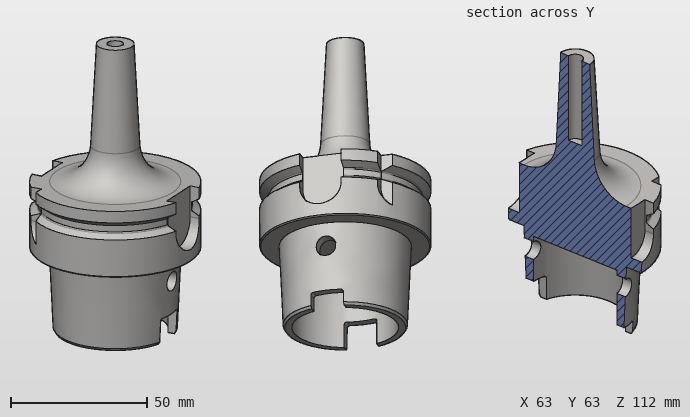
import cadquery as cq
import math

total_height = 112.0
flange_bottom = 32.0
flange_top = 58.0

shank_top_radius = 24.3
shank_bottom_radius = 22.8
shank_chamfer_height = 1.0
shank_chamfer_width = 0.7
cavity_radius = 19.6
cavity_depth = 29.1

flange_radius = 31.5
flange_chamfer = 0.5
groove_floor_radius = 28.3
groove_top = 53.5
groove_floor_top = 51.6
groove_floor_bottom = 48.5
groove_bottom = 46.8
groove_corner_radius = 0.6

tip_radius = 7.0
blend_radius = 15.0
blend_outer_radius = 24.1
tip_bore_diameter = 6.0
tip_bore_depth = 35.8

slot_bottom = 37.0
slot_floor_distance = 26.4
left_slot_width = 15.9
right_slot_width = 17.9
notch_floor_distance = 19.9
notch_wall_y = -20.0

keyway_width = 12.4
keyway_corner_radius = 1.0
left_keyway_height = 5.9
right_keyway_height = 10.1
cross_hole_diameter = 7.5
cross_hole_height = 23.2


def make_body():
    """Revolve the outside outline, with the nose side tangent to the blend arc."""
    blend_center_height = flange_top + blend_radius
    tip_offset = blend_outer_radius - tip_radius
    tip_rise = total_height - blend_center_height
    taper_angle = math.acos(blend_radius / math.hypot(tip_offset, tip_rise)) - math.atan2(tip_rise, tip_offset)

    def blend_point(angle):
        """Point on the blend arc, at an angle below the level of its centre."""
        return (
            blend_outer_radius - blend_radius * math.cos(angle),
            blend_center_height - blend_radius * math.sin(angle),
        )

    middle_angle = (taper_angle + math.pi / 2) / 2
    return (
        cq.Workplane("XZ")
        .moveTo(0, 0)
        .lineTo(shank_bottom_radius - shank_chamfer_width, 0)
        .lineTo(shank_bottom_radius, shank_chamfer_height)
        .lineTo(shank_top_radius, flange_bottom)
        .lineTo(flange_radius - flange_chamfer, flange_bottom)
        .lineTo(flange_radius, flange_bottom + flange_chamfer)
        .lineTo(flange_radius, groove_bottom)
        .lineTo(groove_floor_radius, groove_floor_bottom)
        .lineTo(groove_floor_radius, groove_floor_top)
        .lineTo(flange_radius, groove_top)
        .lineTo(flange_radius, flange_top)
        .lineTo(blend_outer_radius, flange_top)
        .threePointArc(blend_point(middle_angle), blend_point(taper_angle))
        .lineTo(tip_radius, total_height)
        .lineTo(0, total_height)
        .close()
        .revolve(360, (0, 0), (0, 1))
    )


def flange_slot(side, floor_distance, width, center_y=0.0):
    """Slot cutter, open at the flange top, cutting outward from a flat floor on the -X or +X side."""
    radius = width / 2
    arc_height = slot_bottom + radius
    return (
        cq.Workplane("YZ", origin=(side * floor_distance, 0, 0))
        .moveTo(center_y - radius, flange_top)
        .lineTo(center_y - radius, arc_height)
        .threePointArc((center_y, slot_bottom), (center_y + radius, arc_height))
        .lineTo(center_y + radius, flange_top)
        .close()
        .extrude(side * flange_radius)
    )


def shank_keyway(side, height):
    """Keyway cutter, open at the shank bottom, running from the axis to one side."""
    return (
        cq.Workplane("XY")
        .box(flange_radius, keyway_width, height, centered=(False, True, False))
        .edges("|X and >Z")
        .fillet(keyway_corner_radius)
        .translate((0 if side > 0 else -flange_radius, 0, 0))
    )


def vertical_bore(radius, bottom, depth):
    return cq.Workplane("XY").workplane(offset=bottom).circle(radius).extrude(depth)


def round_groove_corners(body):
    floor_zone = cq.selectors.BoxSelector(
        (-flange_radius, -flange_radius, groove_bottom + groove_corner_radius),
        (flange_radius, flange_radius, groove_top - groove_corner_radius),
    )
    return body.edges("%CIRCLE").edges(floor_zone).fillet(groove_corner_radius)


result = round_groove_corners(make_body())

result = result.cut(vertical_bore(cavity_radius, 0, cavity_depth))
result = result.cut(vertical_bore(tip_bore_diameter / 2, total_height - tip_bore_depth, tip_bore_depth))

result = result.cut(flange_slot(-1, slot_floor_distance, left_slot_width))
result = result.cut(flange_slot(1, slot_floor_distance, right_slot_width))
notch_center_y = notch_wall_y - left_slot_width / 2
result = result.cut(flange_slot(-1, notch_floor_distance, left_slot_width, notch_center_y))

result = result.cut(shank_keyway(-1, left_keyway_height))
result = result.cut(shank_keyway(1, right_keyway_height))
cross_hole = (
    cq.Workplane("YZ")
    .center(0, cross_hole_height)
    .circle(cross_hole_diameter / 2)
    .extrude(flange_radius, both=True)
)
result = result.cut(cross_hole)